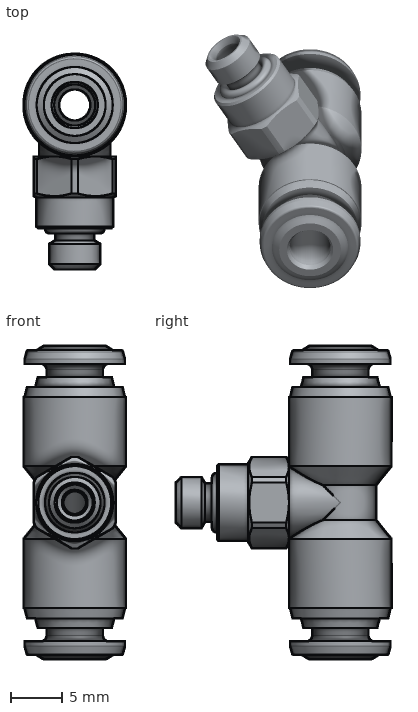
import cadquery as cq
import math


body_radius = 5.0
waist_radius = 3.5
waist_half_height = 1.7
shoulder_height = 3.55
body_height = 10.25
step_radius = 4.9
step_top_radius = 4.65
step_height = 11.25
ring_radius = 3.85
ring_top_radius = 3.6
ring_height = 12.2

stem_radius = 2.75
stem_height = 12.92
flare_width = 0.4
flare_height = 0.55
collar_radius = 4.9
collar_bottom = stem_height + flare_height
collar_rim_height = 13.95
collar_shoulder_radius = 4.7
collar_shoulder_height = 14.65
collar_top_radius = 4.5
collar_top = 14.82
dome_base_radius = 3.7
dome_top_radius = 3.0
run_height = 15.25

flow_radius = 1.5
tube_radius = 2.0
tube_lead_in = 0.25
tube_lead_in_depth = tube_lead_in * math.tan(math.radians(60))
tube_stop_height = 5.0

branch_radius = 3.5
hex_start = 5.0
hex_end = 9.0
hex_across_flats = 8.0
hex_corner_radius = 4.45
hex_back_radius = 4.0
hex_front_radius = 3.75
hex_chamfer_slope = math.tan(math.radians(60))
sleeve_radius = 3.75
sleeve_end = 12.0
sleeve_chamfer = 0.2
seal_radius = 2.9
seal_bulge = 0.5
groove_radius = 1.9
groove_end = 13.15
thread_radius = 2.5
thread_start = 13.5
branch_length = 16.0
thread_chamfer = 0.55

branch_bore_radius = 1.1
socket_radius = 1.25
socket_depth = 2.5
socket_mouth_radius = 1.75


def make_run_half():
    """Outer shape of the upper half of the run, solid."""
    return (
        cq.Workplane("XZ")
        .lineTo(waist_radius, 0)
        .lineTo(waist_radius, waist_half_height)
        .lineTo(body_radius, shoulder_height)
        .lineTo(body_radius, body_height)
        .lineTo(step_radius, body_height)
        .lineTo(step_top_radius, step_height)
        .lineTo(ring_radius, step_height)
        .lineTo(ring_top_radius, ring_height)
        .lineTo(stem_radius, ring_height)
        .lineTo(stem_radius, stem_height)
        .tangentArcPoint((stem_radius + flare_width, collar_bottom), relative=False)
        .lineTo(collar_radius, collar_bottom)
        .lineTo(collar_radius, collar_rim_height)
        .lineTo(collar_shoulder_radius, collar_shoulder_height)
        .tangentArcPoint((collar_top_radius, collar_top), relative=False)
        .lineTo(dome_base_radius, collar_top)
        .lineTo(dome_top_radius, run_height)
        .lineTo(0, run_height)
        .close()
        .revolve(360, (0, 0, 0), (0, 1, 0))
    )


def make_tube_socket():
    """Cutter for the tube socket in the upper end of the run."""
    return (
        cq.Workplane("XZ")
        .moveTo(0, tube_stop_height)
        .lineTo(tube_radius, tube_stop_height)
        .lineTo(tube_radius, run_height - tube_lead_in_depth)
        .lineTo(tube_radius + tube_lead_in, run_height)
        .lineTo(0, run_height)
        .close()
        .revolve(360, (0, 0, 0), (0, 1, 0))
    )


def with_mirror_copy(upper):
    """Join an upper shape with its mirror image below the branch axis."""
    return upper.union(upper.mirror("XY"))


def turn_about_branch(profile):
    """Revolve (radius, distance) points about the branch axis."""
    points = [(radius, -distance) for radius, distance in profile]
    return cq.Workplane("XY").polyline(points).close().revolve(360, (0, 0, 0), (0, 1, 0))


def make_hex():
    """Hexagon with vertices toward +Z and -Z, its corners turned and chamfered."""
    vertex_diameter = hex_across_flats / math.cos(math.radians(30))
    prism = (
        cq.Workplane("XZ", origin=(0, -hex_start, 0))
        .transformed(rotate=(0, 0, 90))
        .polygon(6, vertex_diameter)
        .extrude(hex_end - hex_start)
    )
    back_chamfer = (hex_corner_radius - hex_back_radius) / hex_chamfer_slope
    front_chamfer = (hex_corner_radius - hex_front_radius) / hex_chamfer_slope
    envelope = turn_about_branch([
        (0, hex_start),
        (hex_back_radius, hex_start),
        (hex_corner_radius, hex_start + back_chamfer),
        (hex_corner_radius, hex_end - front_chamfer),
        (hex_front_radius, hex_end),
        (0, hex_end),
    ])
    return prism.intersect(envelope)


def make_stub():
    """Round branch that joins the waist of the run to the hexagon."""
    return turn_about_branch([
        (0, 0),
        (branch_radius, 0),
        (branch_radius, hex_start),
        (0, hex_start),
    ])


def make_sleeve():
    """Plain sleeve in front of the hexagon."""
    return turn_about_branch([
        (0, hex_end),
        (sleeve_radius, hex_end),
        (sleeve_radius, sleeve_end - sleeve_chamfer),
        (sleeve_radius - sleeve_chamfer, sleeve_end),
        (0, sleeve_end),
    ])


def make_seal():
    """Half-round seal ring standing on the sleeve face."""
    inner_radius = seal_radius - 2 * seal_bulge
    crest = (seal_radius - seal_bulge, -(sleeve_end + seal_bulge))
    return (
        cq.Workplane("XY")
        .moveTo(seal_radius, -sleeve_end)
        .threePointArc(crest, (inner_radius, -sleeve_end))
        .close()
        .revolve(360, (0, 0, 0), (0, 1, 0))
    )


def make_thread_end():
    """Relief groove and chamfered threaded spigot."""
    return turn_about_branch([
        (0, sleeve_end),
        (groove_radius, sleeve_end),
        (groove_radius, groove_end),
        (thread_radius, thread_start),
        (thread_radius, branch_length - thread_chamfer),
        (thread_radius - thread_chamfer, branch_length),
        (0, branch_length),
    ])


def make_branch_bore():
    """Cutter for the stepped, countersunk bore that opens into the run."""
    mouth_depth = socket_mouth_radius - socket_radius
    socket_end = branch_length - socket_depth
    return turn_about_branch([
        (0, 0),
        (branch_bore_radius, 0),
        (branch_bore_radius, socket_end),
        (socket_radius, socket_end),
        (socket_radius, branch_length - mouth_depth),
        (socket_mouth_radius, branch_length),
        (0, branch_length),
    ])


outer = with_mirror_copy(make_run_half())
for branch_piece in (make_stub(), make_hex(), make_sleeve(), make_thread_end(), make_seal()):
    outer = outer.union(branch_piece)

flow_bore = cq.Workplane("XY").circle(flow_radius).extrude(run_height, both=True)

result = (
    outer
    .cut(flow_bore)
    .cut(with_mirror_copy(make_tube_socket()))
    .cut(make_branch_bore())
)